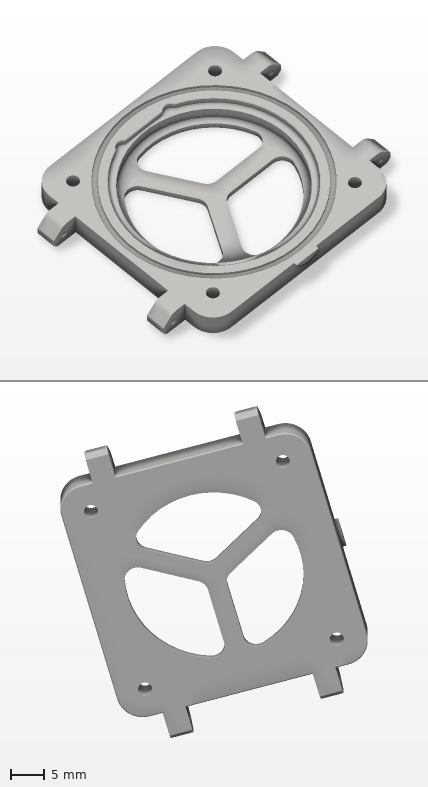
import cadquery as cq
import math

body_size = 39.0
body_height = 4.0
corner_radius = 4.0
bottom_chamfer = 0.2

screw_hole_diameter = 2.1
screw_hole_spacing = 30.0

groove_outer_radius = 18.5
groove_inner_radius = 17.45
groove_depth = 0.5
pocket_radius = 16.0
pocket_depth = 1.0
pocket_chamfer = 0.1
bore_radius = 14.75
plate_thickness = 1.0

flat_distance = 15.0
relief_radius = 1.25
relief_x = -14.3
relief_y = 5.0

window_count = 3
window_radius = 13.5
window_fillet = 2.0
spoke_width = 3.0

lug_span = 48
lug_overlap = 0.5
lug_width = 3.55
lug_spacing = 23.45
lug_round_radius = 2.0
lug_round_start = 21.1
lug_toe_chamfer = 0.7
pin_hole_diameter = 1.0
pin_hole_y = 21.95
pin_hole_z = 1.75

tab_length = 0.6
tab_width = 4.65
tab_height = 1.1
tab_overlap = 0.5


def disc(radius, bottom, top):
    """Solid cylinder on the Z axis between two heights."""
    return cq.Workplane("XY").workplane(offset=bottom).circle(radius).extrude(top - bottom)


def make_lug(x_center):
    """Hinge lug on the +Y side: rounded, sloping top and a chamfered toe."""
    tip = lug_span / 2
    root = body_size / 2 - lug_overlap
    round_center_z = body_height - lug_round_radius
    slope_angle = math.radians(45)
    mid_angle = math.pi / 2 - slope_angle / 2
    arc_middle = (
        lug_round_start + lug_round_radius * math.cos(mid_angle),
        round_center_z + lug_round_radius * math.sin(mid_angle),
    )
    arc_end = (
        lug_round_start + lug_round_radius * math.sin(slope_angle),
        round_center_z + lug_round_radius * math.cos(slope_angle),
    )
    tip_top_z = arc_end[1] - (tip - arc_end[0]) * math.tan(slope_angle)
    return (
        cq.Workplane("YZ")
        .workplane(offset=x_center - lug_width / 2)
        .moveTo(root, 0)
        .lineTo(root, body_height)
        .lineTo(lug_round_start, body_height)
        .threePointArc(arc_middle, arc_end)
        .lineTo(tip, tip_top_z)
        .lineTo(tip, lug_toe_chamfer)
        .lineTo(tip - lug_toe_chamfer, 0)
        .close()
        .extrude(lug_width)
    )


def make_pocket():
    """D-shaped pocket with reliefs beside the flat and a chamfered rim."""
    floor_z = body_height - pocket_depth
    wall_top_z = body_height - pocket_chamfer
    beyond_flat = cq.Workplane("XY").box(pocket_radius, 2 * pocket_radius, 2 * body_height)
    flat_cut = beyond_flat.translate((-flat_distance - pocket_radius / 2, 0, body_height))
    pocket = disc(pocket_radius, floor_z, wall_top_z).cut(flat_cut)
    for side in (-1, 1):
        relief = disc(relief_radius, floor_z, wall_top_z)
        pocket = pocket.union(relief.translate((relief_x, side * relief_y, 0)))
    rim = pocket.faces(">Z").wires().toPending().extrude(pocket_chamfer, taper=-45)
    return pocket.union(rim)


def make_windows():
    """Sector-shaped windows with rounded corners, spread evenly round the axis."""
    half_angle = math.pi / window_count
    apex = spoke_width / 2 / math.sin(half_angle)
    edge_angle = half_angle - math.asin(spoke_width / 2 / window_radius)
    end_x = window_radius * math.sin(edge_angle)
    end_y = -window_radius * math.cos(edge_angle)
    window = (
        cq.Workplane("XY")
        .moveTo(0, -apex)
        .lineTo(end_x, end_y)
        .threePointArc((0, -window_radius), (-end_x, end_y))
        .close()
        .extrude(plate_thickness)
        .edges("|Z")
        .fillet(window_fillet)
    )
    windows = window
    for index in range(1, window_count):
        turned = window.rotate((0, 0, 0), (0, 0, 1), index * 360 / window_count)
        windows = windows.union(turned)
    return windows


body = (
    cq.Workplane("XY")
    .rect(body_size, body_size)
    .extrude(body_height)
    .edges("|Z")
    .fillet(corner_radius)
    .faces("<Z")
    .chamfer(bottom_chamfer)
)
for x_side in (-1, 1):
    lug = make_lug(x_side * lug_spacing / 2)
    body = body.union(lug).union(lug.mirror("XZ"))

tab = (
    cq.Workplane("YZ")
    .workplane(offset=body_size / 2 - tab_overlap)
    .moveTo(-tab_width / 2, body_height)
    .threePointArc((0, body_height - tab_height), (tab_width / 2, body_height))
    .close()
    .extrude(tab_length + tab_overlap)
)
body = body.union(tab)

groove_floor_z = body_height - groove_depth
groove_core = disc(groove_inner_radius, groove_floor_z, body_height)
groove = disc(groove_outer_radius, groove_floor_z, body_height).cut(groove_core)
body = body.cut(groove).cut(make_pocket())
body = body.cut(disc(bore_radius, plate_thickness, body_height - pocket_depth))
body = body.cut(make_windows())

screw_holes = (
    cq.Workplane("XY")
    .rect(screw_hole_spacing, screw_hole_spacing, forConstruction=True)
    .vertices()
    .circle(screw_hole_diameter / 2)
    .extrude(body_height)
)
pin_holes = (
    cq.Workplane("YZ")
    .pushPoints([(-pin_hole_y, pin_hole_z), (pin_hole_y, pin_hole_z)])
    .circle(pin_hole_diameter / 2)
    .extrude(body_size / 2, both=True)
)
result = body.cut(screw_holes).cut(pin_holes)